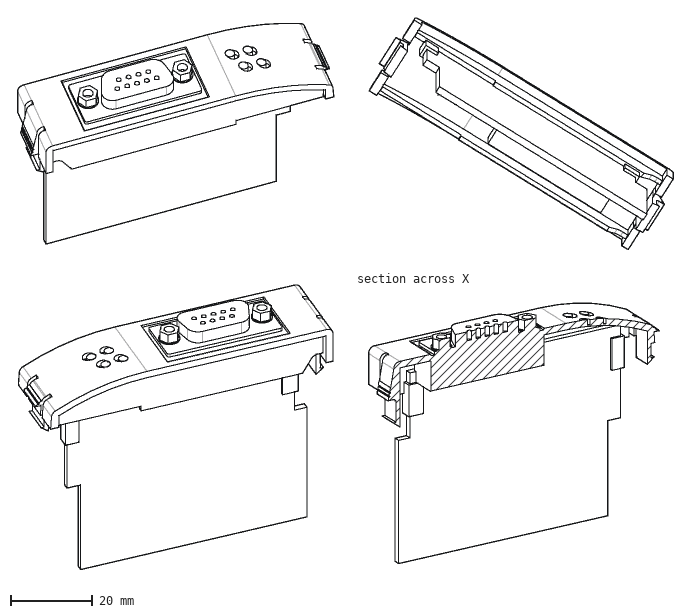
import cadquery as cq
import math


cover_width = 21.0
cover_thickness = 1.9
crown_start_y = 12.1
crown_radius = 57.2
inner_end_y = 35.7
front_wall_y = inner_end_y + cover_thickness
back_wall_top_y = front_wall_y
back_wall_bottom_y = 37.9
front_wall_bottom_z = -9.9
back_wall_bottom_z = -10.65
end_corner_radius = 1.7

clip_width = 7.75
clip_half_width = clip_width / 2
clip_slot_width = 1.2
front_slot_end_y = -35.75
back_slot_end_y = 35.3
clip_tip_y = 39.1
front_ridge_overhang = 0.044
front_grip_tip_y = front_ridge_overhang - clip_tip_y
back_grip_root_y = 36.4
blade_thickness = 1.2
blade_outer_y = inner_end_y + blade_thickness
ridge_groove_depth = 0.27
ridge_groove_half_width = 0.15
ridge_bulge = 0.12
front_ridge_start = 0.58
front_grooves = (0.74, 0.86)
back_ridge_start = 0
back_grooves = (0.41, 0.72)
hook_reach = 0.85
front_hook_z = -16.0
back_hook_z = -14.4
hook_height = 1.6
back_grip_bottom_z = -7.75
grip_root_radius = 0.7
blade_embed = 0.8

skirt_thickness = 1.2
skirt_outer_faces = (-8.4, 7.7)
skirt_bottom_z = -13.0
skirt_step_z = -11.6
skirt_step_y = 12.8
skirt_notch_z = -8.3
skirt_notch_foot_y = -30.3
skirt_notch_top_y = -33.2
skirt_notch_radius = 1.95

board_x = -7.2
board_thickness = 1.7
board_top_z = -7.05
board_bottom_z = -57.2
board_back_y = 32.15
board_back_lower_y = 28.5
board_back_step_z = -31.85
board_front_y = -28.6
board_front_lower_y = -31.9
board_front_step_z = -24.3
guide_x = -7.9
guide_width = 3.05
guide_top_z = front_wall_bottom_z
guide_bottom_z = -18.4
guide_spans = ((-29.3, -25.1), (29.25, 32.85))

flange_x = 0.1
connector_y = -10.5
pocket_width = 17.05
pocket_length = 32.8
pocket_depth = 0.4
pocket_wall_inset = 0.2
body_width = 12.5
flange_width = 12.75
flange_length = 30.7
flange_top_z = 0.5
flange_corner_radius = 0.6
shell_top_z = 3.75
shell_narrow_x = -4.6
shell_wide_x = 4.85
shell_narrow_ends = (-17.7, -2.6)
shell_wide_ends = (-21.05, -0.7)
shell_narrow_radius = 3.05
shell_wide_radius = 2.7
pin_diameter = 1.2
pin_depth = 2.35
pin_pitch = 2.6
pin_rows = ((-1.2, 4), (1.4, 5))
screw_spacing = 24.7
screw_across_flats = 4.4
screw_turn = 30
screw_top_z = 3.3
screw_bore_diameter = 2.5
screw_bore_depth = 2.35
washer_diameter = 5.25
washer_thickness = 0.2

lamp_diameter = 2.35
lamp_rise = 0.1
lamp_recess_diameter = 2.9
lamp_recess_offset = 0.59
lamp_recess_depth = 1.6
lamp_pitch = 4.7
lamp_stagger = 1.9
lamp_first_x = -3.0
lamp_first_y = 15.4


def crown_z(y, depth=0.0):
    """Height of the cover surface at y, lowered by a depth measured along the crown radius."""
    run = max(y - crown_start_y, 0)
    radius = crown_radius - depth
    return math.sqrt(radius ** 2 - run ** 2) - crown_radius


def box(x_range, y_range, z_range):
    size = [high - low for low, high in (x_range, y_range, z_range)]
    corner = (x_range[0], y_range[0], z_range[0])
    return cq.Workplane("XY").box(*size, centered=False).translate(corner)


def extrude_side(profile, x_start, width):
    """Extrude a profile, drawn in Y and Z, along +X."""
    return profile.extrude(width).translate((x_start, 0, 0))


def crown_arc(profile, end_y, depth):
    """Continue a profile from the start of the crown down to its back end."""
    mid_y = (crown_start_y + end_y) / 2
    return profile.threePointArc((mid_y, crown_z(mid_y, depth)), (end_y, crown_z(end_y, depth)))


def make_cover():
    profile = cq.Workplane("YZ").moveTo(-front_wall_y, front_wall_bottom_z)
    profile = profile.lineTo(-front_wall_y, 0).lineTo(crown_start_y, 0)
    profile = crown_arc(profile, back_wall_top_y, 0)
    profile = profile.lineTo(back_wall_bottom_y, back_wall_bottom_z)
    profile = profile.lineTo(inner_end_y, back_wall_bottom_z)
    profile = profile.lineTo(inner_end_y, crown_z(inner_end_y, cover_thickness))
    mid_y = (crown_start_y + inner_end_y) / 2
    crown_middle = (mid_y, crown_z(mid_y, cover_thickness))
    profile = profile.threePointArc(crown_middle, (crown_start_y, -cover_thickness))
    profile = profile.lineTo(-inner_end_y, -cover_thickness)
    profile = profile.lineTo(-inner_end_y, front_wall_bottom_z).close()
    cover = extrude_side(profile, -cover_width / 2, cover_width)
    for end_y, end_z in ((-front_wall_y, 0), (back_wall_top_y, crown_z(back_wall_top_y))):
        corner = cq.selectors.NearestToPointSelector((0, end_y, end_z))
        cover = cover.edges("|X").edges(corner).fillet(end_corner_radius)
    return cover


def clip_slots():
    slots = cq.Workplane("XY")
    for side in (-1, 1):
        middle_x = side * (clip_half_width + clip_slot_width / 2)
        x_range = (middle_x - clip_slot_width / 2, middle_x + clip_slot_width / 2)
        for y_range in ((-clip_tip_y, front_slot_end_y), (back_slot_end_y, clip_tip_y)):
            slots = slots.add(box(x_range, y_range, (back_wall_bottom_z, 0)))
    return slots.combine()


def clip_grip(root, tip, ridge_start, grooves):
    """Wedge on an end wall with rounded grip ridges.

    The ridges begin at ridge_start and are parted by V grooves, both given as fractions of the slope.
    """
    side = math.copysign(1, tip[0])
    slope_y = tip[0] - root[0]
    slope_z = tip[1] - root[1]
    length = math.hypot(slope_y, slope_z)

    def on_slope(fraction, height=0.0):
        """Point along the slope, raised off it by a height."""
        y = root[0] + fraction * slope_y + side * height * abs(slope_z) / length
        z = root[1] + fraction * slope_z + height * abs(slope_y) / length
        return (y, z)

    groove_half = ridge_groove_half_width / length
    profile = cq.Workplane("YZ").moveTo(*root)
    if ridge_start > 0:
        profile = profile.lineTo(*on_slope(ridge_start))
    ridge_from = ridge_start
    for groove in grooves:
        ridge_to = groove - groove_half
        crest = on_slope((ridge_from + ridge_to) / 2, ridge_bulge)
        profile = profile.threePointArc(crest, on_slope(ridge_to))
        ridge_from = groove + groove_half
        profile = profile.lineTo(*on_slope(groove, -ridge_groove_depth)).lineTo(*on_slope(ridge_from))
    profile = profile.threePointArc(on_slope((ridge_from + 1) / 2, ridge_bulge), tip)
    profile = profile.lineTo(side * inner_end_y, tip[1]).lineTo(side * inner_end_y, root[1]).close()
    return extrude_side(profile, -clip_half_width, clip_width)


def clip_blade(side, top_z, hook_z):
    """Flat blade with a barbed end; side is -1 at the front and 1 at the back."""
    barb_y = side * (blade_outer_y + hook_reach)
    profile = (
        cq.Workplane("YZ")
        .moveTo(side * inner_end_y, top_z)
        .lineTo(side * blade_outer_y, top_z)
        .lineTo(side * blade_outer_y, hook_z)
        .lineTo(barb_y, hook_z)
        .lineTo(side * inner_end_y, hook_z - hook_height)
        .close()
    )
    return extrude_side(profile, -clip_half_width, clip_width)


def grip_root_fillet():
    """Concave fillet where the front blade leaves the underside of its grip."""
    y = -blade_outer_y
    z = front_wall_bottom_z
    r = grip_root_radius
    inset = r * (1 - math.sqrt(0.5))
    profile = (
        cq.Workplane("YZ").moveTo(y, z).lineTo(y - r, z)
        .threePointArc((y - inset, z - inset), (y, z - r)).close()
    )
    return extrude_side(profile, -clip_half_width, clip_width)


def make_clips():
    front_root = (-front_wall_y, -end_corner_radius)
    front_tip = (front_grip_tip_y, front_wall_bottom_z)
    back_root = (back_grip_root_y, crown_z(back_grip_root_y))
    back_tip = (clip_tip_y, back_grip_bottom_z)
    return (
        clip_grip(front_root, front_tip, front_ridge_start, front_grooves)
        .union(clip_grip(back_root, back_tip, back_ridge_start, back_grooves))
        .union(clip_blade(-1, front_wall_bottom_z + blade_embed, front_hook_z))
        .union(clip_blade(1, back_grip_bottom_z + blade_embed, back_hook_z))
        .union(grip_root_fillet())
    )


def make_skirt(outer_x):
    embed = cover_thickness / 2
    profile = cq.Workplane("YZ").moveTo(-inner_end_y, skirt_notch_z)
    profile = profile.lineTo(-inner_end_y, -embed).lineTo(crown_start_y, -embed)
    profile = crown_arc(profile, inner_end_y, embed)
    profile = profile.lineTo(inner_end_y, skirt_step_z).lineTo(skirt_step_y, skirt_step_z)
    profile = profile.lineTo(skirt_step_y, skirt_bottom_z).lineTo(skirt_notch_foot_y, skirt_bottom_z)
    profile = profile.lineTo(skirt_notch_top_y, skirt_notch_z).close()
    notch = cq.selectors.NearestToPointSelector((outer_x, skirt_notch_top_y, skirt_notch_z))
    skirt = extrude_side(profile, outer_x, skirt_thickness)
    return skirt.edges("|X").edges(notch).fillet(skirt_notch_radius)


def make_board():
    profile = cq.Workplane("YZ").polyline([
        (board_front_y, board_top_z),
        (board_back_y, board_top_z),
        (board_back_y, board_back_step_z),
        (board_back_lower_y, board_back_step_z),
        (board_back_lower_y, board_bottom_z),
        (board_front_lower_y, board_bottom_z),
        (board_front_lower_y, board_front_step_z),
        (board_front_y, board_front_step_z),
    ]).close()
    board = extrude_side(profile, board_x, board_thickness)
    for y_range in guide_spans:
        board = board.union(box((guide_x, guide_x + guide_width), y_range, (guide_bottom_z, guide_top_z)))
    return board


def connector_pocket():
    floor_size = (pocket_width - 2 * pocket_wall_inset, pocket_length - 2 * pocket_wall_inset)
    return (
        cq.Workplane("XY", origin=(0, connector_y, -pocket_depth))
        .rect(*floor_size)
        .workplane(offset=pocket_depth)
        .rect(pocket_width, pocket_length)
        .loft(ruled=True)
    )


def make_connector_body():
    half_length = pocket_length / 2
    return box(
        (-body_width / 2, body_width / 2),
        (connector_y - half_length, connector_y + half_length),
        (front_wall_bottom_z, -cover_thickness / 2),
    )


def make_flange():
    flange = (
        cq.Workplane("XY", origin=(flange_x, connector_y, -pocket_depth))
        .rect(flange_width, flange_length)
        .extrude(flange_top_z + pocket_depth)
    )
    return flange.edges("|Z").fillet(flange_corner_radius)


def make_shell():
    corners = [(shell_narrow_x, y) for y in shell_narrow_ends]
    corners += [(shell_wide_x, y) for y in reversed(shell_wide_ends)]
    shell = cq.Workplane("XY").polyline(corners).close().extrude(shell_top_z)
    for corner_x, end_ys, radius in (
        (shell_narrow_x, shell_narrow_ends, shell_narrow_radius),
        (shell_wide_x, shell_wide_ends, shell_wide_radius),
    ):
        for end_y in end_ys:
            corner = cq.selectors.NearestToPointSelector((corner_x, end_y, shell_top_z / 2))
            shell = shell.edges("|Z").edges(corner).fillet(radius)
    for row_x, count in pin_rows:
        for index in range(count):
            pin_y = connector_y + (index - (count - 1) / 2) * pin_pitch
            pin = cq.Workplane("XY", origin=(row_x, pin_y, shell_top_z))
            shell = shell.cut(pin.circle(pin_diameter / 2).extrude(-pin_depth))
    return shell


def make_screw(y):
    across_corners = screw_across_flats / math.cos(math.pi / 6)
    base = cq.Workplane("XY", origin=(0, y, 0))
    washer = base.circle(washer_diameter / 2).extrude(flange_top_z + washer_thickness)
    nut = base.polygon(6, across_corners).extrude(screw_top_z)
    nut = nut.rotate((0, y, 0), (0, y, 1), screw_turn)
    bore = cq.Workplane("XY", origin=(0, y, screw_top_z))
    return washer.union(nut).cut(bore.circle(screw_bore_diameter / 2).extrude(-screw_bore_depth))


def add_lamp(part, x, y):
    recess_x = x + lamp_recess_offset
    recess_y = y + lamp_recess_offset
    floor_z = crown_z(recess_y) - lamp_recess_depth
    recess = cq.Workplane("XY", origin=(recess_x, recess_y, floor_z))
    recess = recess.circle(lamp_recess_diameter / 2).extrude(-floor_z)

    post = cq.Workplane("XY", origin=(x, y, floor_z))
    post = post.circle(lamp_diameter / 2).extrude(lamp_rise - floor_z)
    reach = lamp_diameter
    envelope = cq.Workplane("YZ").moveTo(y - reach, floor_z)
    envelope = envelope.lineTo(y - reach, crown_z(y - reach, -lamp_rise))
    envelope = envelope.threePointArc(
        (y, crown_z(y, -lamp_rise)), (y + reach, crown_z(y + reach, -lamp_rise))
    )
    envelope = envelope.lineTo(y + reach, floor_z).close()
    return part.cut(recess).union(post.intersect(extrude_side(envelope, x - reach, 2 * reach)))


result = make_cover().cut(clip_slots()).union(make_clips())
for skirt_x in skirt_outer_faces:
    result = result.union(make_skirt(skirt_x))
result = result.union(make_board()).union(make_connector_body())
result = result.cut(connector_pocket()).union(make_flange()).union(make_shell())
for screw_side in (-1, 1):
    result = result.union(make_screw(connector_y + screw_side * screw_spacing / 2))
for column in range(2):
    for row in range(2):
        lamp_y = lamp_first_y + row * lamp_pitch + column * lamp_stagger
        result = add_lamp(result, lamp_first_x + column * lamp_pitch, lamp_y)